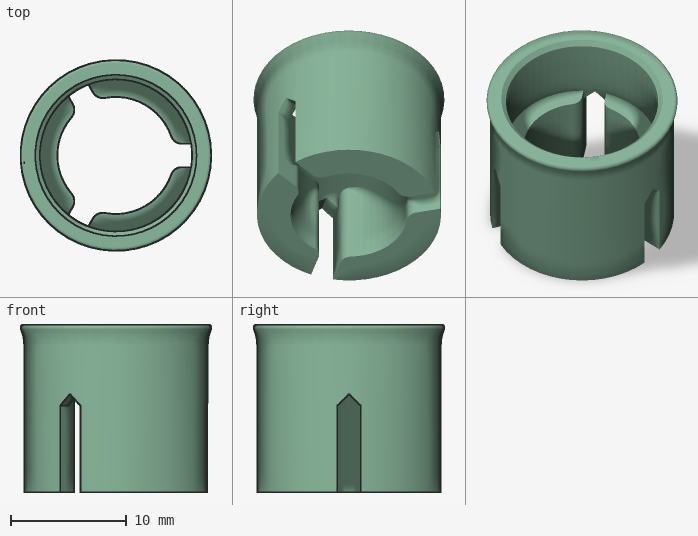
import cadquery as cq
import math

height = 14.5
rim_radius = 8.25
body_radius = 15.9 / 2
bore_radius = 13.15 / 2
bore_chamfer = 0.4

flare_height = 1.7
lip_radius = rim_radius - body_radius

ledge_radius = 5.05
slot_count = 3
slot_width = 2.0
slot_side_height = 7.49
slot_peak_height = slot_side_height + slot_width / 2
ledge_height = slot_peak_height
ledge_corner_radius = 1.0


def make_sleeve():
    """Revolve the wall with its flared rim and chamfered bore."""
    lip_z = height - lip_radius
    flare_z = height - flare_height
    drop = lip_z - flare_z
    flare_radius = (drop**2 - lip_radius**2) / (2 * lip_radius)
    blend_angle = math.atan2(drop, flare_radius)
    flare_center_r = body_radius + flare_radius

    def lip_point(angle):
        return (body_radius + lip_radius * math.cos(angle), lip_z + lip_radius * math.sin(angle))

    def flare_point(angle):
        return (flare_center_r - flare_radius * math.cos(angle), flare_z + flare_radius * math.sin(angle))

    profile = (
        cq.Workplane("XZ")
        .moveTo(bore_radius, 0)
        .lineTo(body_radius, 0)
        .lineTo(body_radius, flare_z)
        .threePointArc(flare_point(blend_angle / 2), flare_point(blend_angle))
        .threePointArc(lip_point(0), (body_radius, height))
        .lineTo(bore_radius + bore_chamfer, height)
        .lineTo(bore_radius, height - bore_chamfer)
        .close()
    )
    return profile.revolve(360, (0, 0, 0), (0, 1, 0))


def make_ledge():
    """Inner ring cut into segments with rounded inner corners."""
    outer_radius = (bore_radius + body_radius) / 2
    ring = cq.Workplane("XY").circle(outer_radius).circle(ledge_radius).extrude(ledge_height)
    for i in range(slot_count):
        gap = cq.Workplane("XY").rect(rim_radius, slot_width).extrude(ledge_height)
        gap = gap.translate((rim_radius / 2, 0, 0))
        ring = ring.cut(gap.rotate((0, 0, 0), (0, 0, 1), i * 360 / slot_count))
    inner_corners = cq.selectors.BoxSelector(
        (-ledge_radius, -ledge_radius, 0),
        (ledge_radius, ledge_radius, ledge_height),
    )
    return ring.edges("|Z").edges(inner_corners).fillet(ledge_corner_radius)


def make_slot(angle):
    """Radial cutter with a pointed roof, open at the bottom of the sleeve."""
    half_width = slot_width / 2
    return (
        cq.Workplane("YZ")
        .polyline([
            (-half_width, 0),
            (half_width, 0),
            (half_width, slot_side_height),
            (0, slot_peak_height),
            (-half_width, slot_side_height),
        ])
        .close()
        .extrude(rim_radius)
        .rotate((0, 0, 0), (0, 0, 1), angle)
    )


result = make_sleeve().union(make_ledge())
for slot_index in range(slot_count):
    result = result.cut(make_slot(slot_index * 360 / slot_count))